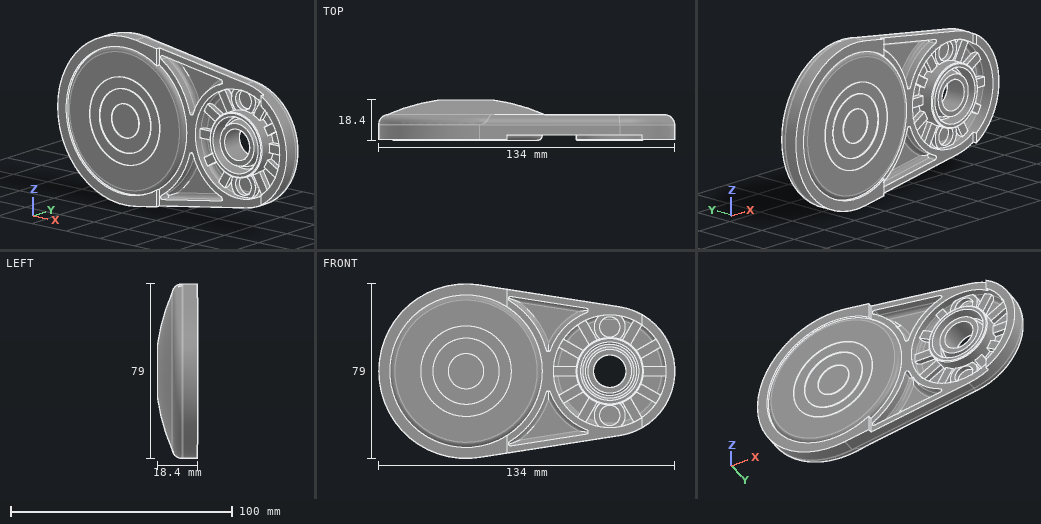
import cadquery as cq
import math

large_radius = 39.5
small_radius = 29.5
centre_distance = 65.0
slab_thickness = 11.35
back_edge_radius = 4.8
wall = 3.0

dome_height = 18.0
dome_flat_radius = 12.2
dome_edge_radius = 35.6
dome_skirt_depth = 6.8
dome_bulge = (38.4, 9.9)

relief_start = 18.5
relief_end = 79.5
relief_depth = 2.0

disc_radius = 34.5
disc_front = -0.38
disc_back = 4.0
disc_edge_radius = 2.3
disc_outer_step_radius = 20.5
disc_inner_step_radius = 15.0
disc_button_radius = 8.0
outer_step_floor = disc_front + 0.3
inner_step_floor = outer_step_floor + 0.5
button_front = inner_step_floor - 0.4

pocket_radius = 25.5
pocket_floor = 8.0
floor_fillet = 2.0
hub_radius = 15.2
hub_front = disc_front
hub_edge_chamfer = 0.4
bore_radius = 7.3
inner_sleeve_front = 0.7
groove_floor = 5.6
groove_mouth_outer = 13.2
groove_floor_outer = 12.2
groove_floor_inner = 11.0
groove_mouth_inner = 9.9
rib_width = 4.2
rib_front = 5.25
rib_inner_radius = (hub_radius + groove_mouth_outer) / 2
rib_outer_radius = pocket_radius + wall / 2
rib_step = 30
boss_angles = (90, 270)
boss_offset = 20.0
boss_radius = 7.0
boss_hole_radius = 4.6

triangle_corner_radius = 1.0


def front_plane(y, x=0.0):
    """Sketch plane at depth y whose local axes are X and Z."""
    return cq.Workplane(cq.Plane(origin=(x, y, 0), xDir=(1, 0, 0), normal=(0, -1, 0)))


def cylinder(radius, y_start, y_end, x=0.0, z=0.0):
    """Round bar along Y from y_start to y_end."""
    return front_plane(y_start, x).center(0, z).circle(radius).extrude(y_start - y_end)


def tangent_outline(offset, y_start, y_end):
    """Both end circles joined by their outer tangents, shrunk by offset."""
    lean_sin = (large_radius - small_radius) / centre_distance
    lean_cos = math.sqrt(1 - lean_sin**2)
    big = large_radius - offset
    small = small_radius - offset
    big_x, big_z = big * lean_sin, big * lean_cos
    small_x, small_z = centre_distance + small * lean_sin, small * lean_cos
    return (
        front_plane(y_start)
        .moveTo(big_x, big_z)
        .lineTo(small_x, small_z)
        .threePointArc((centre_distance + small, 0), (small_x, -small_z))
        .lineTo(big_x, -big_z)
        .threePointArc((-big, 0), (big_x, big_z))
        .close()
        .extrude(y_start - y_end)
    )


def dome():
    """Turned back of the large end: rounded edge, spherical slope and flat top."""
    base = slab_thickness - back_edge_radius
    centre_depth = (
        dome_height**2 - slab_thickness**2 + dome_flat_radius**2 - dome_edge_radius**2
    ) / (2 * (dome_height - slab_thickness))
    sphere_radius = math.hypot(dome_flat_radius, dome_height - centre_depth)
    middle = (dome_flat_radius + dome_edge_radius) / 2
    middle_depth = centre_depth + math.sqrt(sphere_radius**2 - middle**2)
    return (
        cq.Workplane("XY")
        .moveTo(0, base)
        .lineTo(large_radius, base)
        .lineTo(large_radius, dome_skirt_depth)
        .threePointArc(dome_bulge, (dome_edge_radius, slab_thickness))
        .threePointArc((middle, middle_depth), (dome_flat_radius, dome_height))
        .lineTo(0, dome_height)
        .close()
        .revolve(360, (0, 0), (0, 1))
    )


def relief():
    """Block that sets the front face back between the two ends."""
    length = relief_end - relief_start
    middle = (relief_start + relief_end) / 2
    return front_plane(0, middle).rect(length, 2 * large_radius).extrude(-relief_depth)


def triangle_pockets():
    """Both pockets, bounded by a constant wall around the disc seat, round pocket and sides."""
    shape = tangent_outline(wall, 0, pocket_floor)
    shape = shape.cut(cylinder(disc_radius + wall, 0, pocket_floor))
    shape = shape.cut(cylinder(pocket_radius + wall, 0, pocket_floor, centre_distance))
    middle_box = front_plane(0, centre_distance / 2).rect(centre_distance, 2 * large_radius)
    shape = shape.intersect(middle_box.extrude(-pocket_floor))
    rounded_corners = shape.edges("|Y").fillet(triangle_corner_radius)
    rounded_floor = shape.faces(">Y").edges().fillet(floor_fillet)
    return rounded_floor.intersect(rounded_corners)


def round_pocket():
    shape = cylinder(pocket_radius, 0, pocket_floor, centre_distance)
    return shape.faces(">Y").edges().fillet(floor_fillet)


def hub():
    """Hub with a tapered ring groove that leaves a lower sleeve in its middle."""
    body = cylinder(hub_radius, hub_front, pocket_floor, centre_distance)
    body = body.faces("<Y").edges().chamfer(hub_edge_chamfer)
    groove = (
        cq.Workplane("XY")
        .moveTo(0, hub_front)
        .lineTo(groove_mouth_outer, hub_front)
        .lineTo(groove_floor_outer, groove_floor)
        .lineTo(groove_floor_inner, groove_floor)
        .lineTo(groove_mouth_inner, inner_sleeve_front)
        .lineTo(0, inner_sleeve_front)
        .close()
        .revolve(360, (0, 0), (0, 1))
        .translate((centre_distance, 0, 0))
    )
    return body.cut(groove)


def rib(angle):
    """Radial bar from inside the hub wall into the pocket wall."""
    length = rib_outer_radius - rib_inner_radius
    middle = (rib_outer_radius + rib_inner_radius) / 2
    bar = front_plane(rib_front).center(middle, 0).rect(length, rib_width)
    bar = bar.extrude(rib_front - pocket_floor)
    return bar.rotate((0, 0, 0), (0, 1, 0), angle).translate((centre_distance, 0, 0))


def screw_boss(side):
    """Tube on the pocket floor, above (side = 1) or below (side = -1) the hub."""
    sketch = front_plane(rib_front, centre_distance).center(0, side * boss_offset)
    return sketch.circle(boss_radius).circle(boss_hole_radius).extrude(rib_front - pocket_floor)


def build_housing():
    body = tangent_outline(0, 0, slab_thickness).faces(">Y").edges().fillet(back_edge_radius)
    body = body.union(dome())
    body = body.cut(relief())
    body = body.cut(cylinder(disc_radius, 0, disc_back))
    body = body.cut(triangle_pockets())
    body = body.cut(round_pocket())
    body = body.union(hub())
    for angle in range(0, 360, rib_step):
        if angle not in boss_angles:
            body = body.union(rib(angle))
    for side in (1, -1):
        body = body.union(screw_boss(side))
    return body.cut(cylinder(bore_radius, hub_front, slab_thickness, centre_distance))


def build_disc():
    """Round plate whose front has two stepped recesses and a raised button."""
    body = cylinder(disc_radius, disc_front, disc_back).faces("<Y").edges().fillet(disc_edge_radius)
    body = body.cut(cylinder(disc_outer_step_radius, disc_front, outer_step_floor))
    body = body.cut(cylinder(disc_inner_step_radius, disc_front, inner_step_floor))
    return body.union(cylinder(disc_button_radius, button_front, disc_back))


housing = build_housing()
disc = build_disc()
result = cq.Compound.makeCompound([housing.val(), disc.val()])